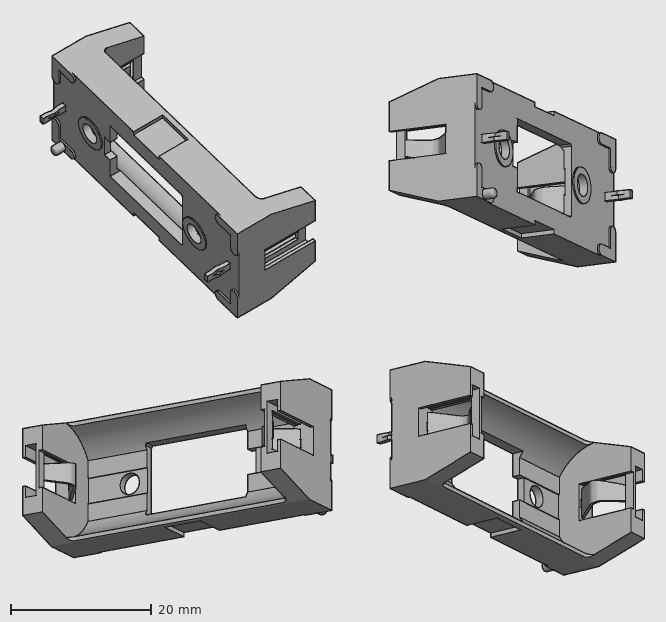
import cadquery as cq


LENGTH = 43.0
HEIGHT = 14.05
WIDTH = 18.0
HALF_LENGTH = LENGTH / 2
HALF_WIDTH = WIDTH / 2
SHOULDER_Y = 6.15
TOP_HALF_WIDTH = 6.5
BASE_Y = 0.3
TOWER_LENGTH = 3.3
RIM_Y = 6.5
RIM_FILLET = 0.9

TROUGH_RADIUS = 8.6
TROUGH_AXIS_Y = 8.85
FLOOR_Y = 1.55
CHANNEL_HALF_WIDTH = 1.9
CHANNEL_DEPTH = 0.17

WINDOW_LENGTH = 16.75
WINDOW_WIDTH = 10.75
WINDOW_CHAMFER = 0.25
NOTCH_LENGTH = 1.3
HOLE_DIAMETER = 3.2
HOLE_POSITIONS_X = (-12.8, 11.35)
RING_DIAMETER = 5.3
RING_HEIGHT = 0.2

PAD_ARM_X = 5.15
PAD_ARM_Z = 5.07
PAD_WIDTH_X = 1.6
PAD_WIDTH_Z = 1.68

SIDE_RECESS_LENGTH = 5.9
SIDE_RECESS_TOP_Y = 5.55
SIDE_RECESS_DEPTH = 0.65

SLOT_HALF_WIDTH = 2.15
SLOT_FLOOR_Y = 5.0
SKIN = 0.5
POCKET_END = 2.25
POCKET_HALF_WIDTH = 3.85
INNER_WALL_END = 2.7
OPENING_HALF_WIDTH = 2.9
RECESS_HALF_WIDTH = 2.8
CROSSBAR_Y = 12.65

STRIP_THICKNESS = 0.4
BEND_RADIUS = 1.15
SPRING_TIP = (1.95, 12.95)
UPPER_BEND = (5.45, 10.05)
LOWER_BEND = (5.45, 8.75)
SPRING_FOOT = (2.05, 4.5)
SPRING_TOP_Y = 12.6
SPRING_TIP_HALF_WIDTH = 1.2
TAPER_START_Y = 5.65
LEAD_DEPTH = 2.45
LEAD_THICKNESS = 0.7
LEAD_WIDTH = 1.2
LEAD_END_Y = -3.75
KINK_OFFSET = 0.17
KINK_TOP_Y = -0.77
KINK_BOTTOM_Y = -2.75

PEG_DIAMETER = 1.5
PEG_LENGTH = 1.7
PEG_FILLET = 0.4
PEG_EDGE_DISTANCE = 0.85
PEG_X = LEAD_DEPTH - HALF_LENGTH
PEG_Z = PEG_EDGE_DISTANCE - HALF_WIDTH


def block(x_range, y_range, z_range):
    """Box between the given limits on each axis."""
    size = [high - low for low, high in (x_range, y_range, z_range)]
    return cq.Workplane("XY").box(*size, centered=False).translate((x_range[0], y_range[0], z_range[0]))


def rod(x, z, diameter, y_low, y_high):
    """Cylinder along Y."""
    return (
        cq.Workplane("XZ", origin=(0, y_low, 0))
        .center(x, z)
        .circle(diameter / 2)
        .extrude(y_low - y_high)
    )


def mirrored_in_x(body):
    return body.mirror("YZ")


def both_ends(body):
    return body.union(mirrored_in_x(body))


def make_shell():
    """Outer shape: leaning sides, two towers and the low rim between them."""
    shell = (
        cq.Workplane("YZ", origin=(-HALF_LENGTH, 0, 0))
        .polyline([
            (BASE_Y, -HALF_WIDTH),
            (SHOULDER_Y, -HALF_WIDTH),
            (HEIGHT, -TOP_HALF_WIDTH),
            (HEIGHT, TOP_HALF_WIDTH),
            (SHOULDER_Y, HALF_WIDTH),
            (BASE_Y, HALF_WIDTH),
        ])
        .close()
        .extrude(LENGTH)
    )
    inner_x = HALF_LENGTH - TOWER_LENGTH
    gap = block((-inner_x, inner_x), (RIM_Y, HEIGHT), (-HALF_WIDTH, HALF_WIDTH))
    return shell.cut(gap.edges("|Z and <Y").fillet(RIM_FILLET))


def make_trough():
    """Space for the battery: round sides, flat floor and a shallow middle channel."""
    inner_x = HALF_LENGTH - TOWER_LENGTH
    round_space = (
        cq.Workplane("YZ", origin=(-inner_x, 0, 0))
        .center(TROUGH_AXIS_Y, 0)
        .circle(TROUGH_RADIUS)
        .extrude(2 * inner_x)
    )
    above_floor = block((-inner_x, inner_x), (FLOOR_Y, HEIGHT), (-HALF_WIDTH, HALF_WIDTH))
    channel = block(
        (-inner_x, inner_x),
        (FLOOR_Y - CHANNEL_DEPTH, RIM_Y),
        (-CHANNEL_HALF_WIDTH, CHANNEL_HALF_WIDTH),
    )
    return round_space.intersect(above_floor).union(channel)


def make_floor_openings():
    """Window with a notch at its -X end, and the two mounting holes."""
    half = WINDOW_LENGTH / 2
    window = block((-half, half), (0, RIM_Y), (-WINDOW_WIDTH / 2, WINDOW_WIDTH / 2))
    window = window.edges("|Y and >X").chamfer(WINDOW_CHAMFER)
    notch = block((-half - NOTCH_LENGTH, 0), (0, RIM_Y), (-CHANNEL_HALF_WIDTH, CHANNEL_HALF_WIDTH))
    openings = window.union(notch)
    for x in HOLE_POSITIONS_X:
        openings = openings.union(rod(x, 0, HOLE_DIAMETER, 0, RIM_Y))
    return openings


def make_corner_pad(x_side, z_side):
    """L-shaped foot with a round end on each arm."""
    corner_x = x_side * HALF_LENGTH
    corner_z = z_side * HALF_WIDTH
    radius_x_arm = PAD_WIDTH_Z / 2
    radius_z_arm = PAD_WIDTH_X / 2

    def arm(length_x, length_z):
        return block(
            sorted((corner_x, corner_x - x_side * length_x)),
            (0, BASE_Y),
            sorted((corner_z, corner_z - z_side * length_z)),
        )

    x_arm = arm(PAD_ARM_X - radius_x_arm, PAD_WIDTH_Z)
    x_arm_end = rod(
        corner_x - x_side * (PAD_ARM_X - radius_x_arm), corner_z - z_side * radius_x_arm,
        PAD_WIDTH_Z, 0, BASE_Y,
    )
    z_arm = arm(PAD_WIDTH_X, PAD_ARM_Z - radius_z_arm)
    z_arm_end = rod(
        corner_x - x_side * radius_z_arm, corner_z - z_side * (PAD_ARM_Z - radius_z_arm),
        PAD_WIDTH_X, 0, BASE_Y,
    )
    return x_arm.union(x_arm_end).union(z_arm).union(z_arm_end)


def make_contact_space():
    """Slot, pocket, inner opening, battery-side recess and lead hole of the -X tower."""

    def space(depth_range, y_range, half_width):
        x_range = [depth - HALF_LENGTH for depth in depth_range]
        return block(x_range, y_range, (-half_width, half_width))

    slot = space((0, SKIN), (SLOT_FLOOR_Y, HEIGHT), SLOT_HALF_WIDTH)
    pocket = space((SKIN, POCKET_END), (SLOT_FLOOR_Y, HEIGHT), POCKET_HALF_WIDTH)
    opening = space((POCKET_END, INNER_WALL_END), (SLOT_FLOOR_Y, CROSSBAR_Y), OPENING_HALF_WIDTH)
    recess = space((INNER_WALL_END, TOWER_LENGTH), (SLOT_FLOOR_Y, HEIGHT), RECESS_HALF_WIDTH)
    lead_hole = space(
        (LEAD_DEPTH - LEAD_THICKNESS / 2, LEAD_DEPTH + LEAD_THICKNESS / 2),
        (0, SLOT_FLOOR_Y),
        LEAD_WIDTH / 2,
    )
    return slot.union(pocket).union(opening).union(recess).union(lead_hole)


def make_housing():
    housing = make_shell()
    for x in HOLE_POSITIONS_X:
        housing = housing.union(rod(x, 0, RING_DIAMETER, BASE_Y - RING_HEIGHT, BASE_Y))
    for x_side in (-1, 1):
        for z_side in (-1, 1):
            housing = housing.union(make_corner_pad(x_side, z_side))
    housing = housing.cut(make_trough()).cut(make_floor_openings())
    half_recess = SIDE_RECESS_LENGTH / 2
    recess_floor = HALF_WIDTH - SIDE_RECESS_DEPTH
    for z_range in ((-HALF_WIDTH, -recess_floor), (recess_floor, HALF_WIDTH)):
        housing = housing.cut(block((-half_recess, half_recess), (0, SIDE_RECESS_TOP_Y), z_range))
    return housing.cut(both_ends(make_contact_space()))


def make_spring():
    """Bent strip of the -X contact, narrowing toward its tip."""
    corners = (SPRING_TIP, UPPER_BEND, LOWER_BEND, SPRING_FOOT)
    points = [cq.Vector(depth - HALF_LENGTH, y, 0) for depth, y in corners]
    centre_line = cq.Wire.makePolygon(points)
    end_x = max(points[0].x, points[-1].x)
    bends = [vertex for vertex in centre_line.Vertices() if vertex.X > end_x + STRIP_THICKNESS]
    centre_line = centre_line.fillet(BEND_RADIUS, bends)
    start_plane = cq.Plane(origin=points[0], xDir=(0, 0, 1), normal=points[1] - points[0])
    return (
        cq.Workplane(start_plane)
        .rect(2 * SLOT_HALF_WIDTH, STRIP_THICKNESS)
        .sweep(cq.Workplane(centre_line))
    )


def make_lead():
    """Straight lead whose two halves are kinked in opposite directions."""
    x = LEAD_DEPTH - HALF_LENGTH
    half = LEAD_THICKNESS / 2
    kink_y = (KINK_TOP_Y + KINK_BOTTOM_Y) / 2

    def lead_half(kink, width):
        return (
            cq.Workplane("XY")
            .polyline([
                (x - half, SLOT_FLOOR_Y),
                (x - half, KINK_TOP_Y),
                (x - half + kink, kink_y),
                (x - half, KINK_BOTTOM_Y),
                (x - half, LEAD_END_Y),
                (x + half, LEAD_END_Y),
                (x + half, KINK_BOTTOM_Y),
                (x + half + kink, kink_y),
                (x + half, KINK_TOP_Y),
                (x + half, SLOT_FLOOR_Y),
            ])
            .close()
            .extrude(width)
        )

    return lead_half(KINK_OFFSET, LEAD_WIDTH / 2).union(lead_half(-KINK_OFFSET, -LEAD_WIDTH / 2))


def make_contact():
    """Contact of the -X tower: spring and lead in one piece."""
    taper = (
        cq.Workplane("YZ", origin=(-HALF_LENGTH, 0, 0))
        .polyline([
            (SLOT_FLOOR_Y, -SLOT_HALF_WIDTH),
            (TAPER_START_Y, -SLOT_HALF_WIDTH),
            (SPRING_TOP_Y, -SPRING_TIP_HALF_WIDTH),
            (SPRING_TOP_Y, SPRING_TIP_HALF_WIDTH),
            (TAPER_START_Y, SLOT_HALF_WIDTH),
            (SLOT_FLOOR_Y, SLOT_HALF_WIDTH),
        ])
        .close()
        .extrude(HALF_LENGTH)
    )
    return make_spring().intersect(taper).union(make_lead())


def make_peg():
    """Round locating peg standing on the pad at the -X, -Z corner."""
    return rod(PEG_X, PEG_Z, PEG_DIAMETER, -PEG_LENGTH, 0).faces("<Y").edges().fillet(PEG_FILLET)


housing = make_housing()
left_contact = make_contact()
contacts = [left_contact, mirrored_in_x(left_contact)]
peg = make_peg()

result = cq.Compound.makeCompound([
    housing.val(),
    *[contact.val() for contact in contacts],
    peg.val(),
])